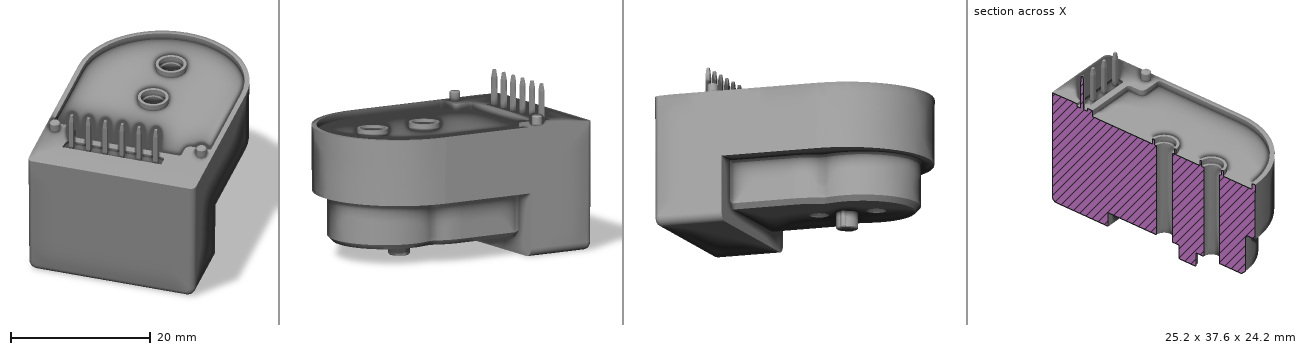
import cadquery as cq


case_width = 25.2
case_length = 37.6
case_bottom = -9.6
end_radius = case_width / 2
front_y = end_radius - case_length
side_draft = 0.4

leg_back_y = -14.6
leg_bottom = -19.0
leg_side_round = 1.25
front_round = 0.83

slope_start_y = -22.05
slope_drop = 0.08

rim = 0.7
recess_depth = 1.0
recess_half_width = end_radius - rim
recess_shoulder_y = -14.8
recess_front_y = -17.5
tongue_half_width = 8.25
recess_corner = 0.38
tongue_corner = 0.83

housing_bottom = -16.62
housing_disc_y = 2.45
housing_disc_radius = 8.3
housing_half_width = 8.8
shoulder_radius = 7.52
shoulder_start_y = -4.8
waist_round = 1.88
housing_chamfer = 0.75
root_chamfer = 0.35

hole_ys = (4.47, -4.3)
hole_radius = 1.43
ring_radius = 2.2
ring_bore_radius = 1.8
ring_height = 0.95

pin_radius = 1.58
pin_chamfer = 0.15
rib_radius = 0.45

post_x = 11.0
post_y = -16.5
post_radius = 0.75
post_height = 1.4
post_chamfer = 0.15

contact_count = 6
first_contact_x = -7.6
last_contact_x = 5.08
contact_pitch = (last_contact_x - first_contact_x) / (contact_count - 1)
contact_y = -19.45
contact_width = 0.65
contact_shoulder = 4.1
contact_top = 5.2
contact_tip_width = 0.38
slot_left = -8.75
slot_right = 6.15
slot_front_y = -20.38
slot_back_y = -18.55
slot_slant = 0.2
slot_round = 0.55
slot_depth = 0.5

select_margin = 0.02


def box(x_range, y_range, z_range):
    """Box between the given limits."""
    sizes = [high - low for low, high in (x_range, y_range, z_range)]
    corner = (x_range[0], y_range[0], z_range[0])
    return cq.Workplane("XY").box(*sizes, centered=False).translate(corner)


def cylinder(x, y, radius, z_low, z_high):
    """Upright cylinder between two heights."""
    return cq.Workplane("XY", origin=(x, y, z_low)).circle(radius).extrude(z_high - z_low)


def edges_within(y_range, z_range):
    """Selector for edges that lie fully inside the housing width and the given limits."""
    half_width = housing_half_width + select_margin
    low = (-half_width, y_range[0] - select_margin, z_range[0] - select_margin)
    high = (half_width, y_range[1] + select_margin, z_range[1] + select_margin)
    return cq.selectors.BoxSelector(low, high, boundingbox=True)


def make_case():
    """Round-ended case with drafted sides, a leg and a flat front."""
    front_allowance = 0.38
    rough_front_y = front_y - front_allowance
    case = (
        cq.Workplane("XY")
        .moveTo(-end_radius, rough_front_y)
        .lineTo(-end_radius, 0)
        .threePointArc((0, end_radius), (end_radius, 0))
        .lineTo(end_radius, rough_front_y)
        .close()
        .extrude(leg_bottom, taper=side_draft)
    )
    full_x = (-case_width, case_width)
    case = case.intersect(box(full_x, (front_y, end_radius), (leg_bottom, 0)))
    case = case.cut(box(full_x, (leg_back_y, case_length), (leg_bottom, case_bottom)))
    case = case.faces("<Z").edges("<X or >X").fillet(leg_side_round)
    return case.faces("<Y").edges("not >Z").fillet(front_round)


def make_slope_cut():
    """Wedge that slopes the deck down from its cross line to the front."""
    profile = [(slope_start_y, 0), (front_y, 0), (front_y, -slope_drop)]
    return cq.Workplane("YZ").polyline(profile).close().extrude(end_radius, both=True)


def make_recess():
    """Recess following the case outline, with a tongue between the posts."""
    outer = (
        cq.Workplane("XY")
        .moveTo(-recess_half_width, recess_shoulder_y)
        .lineTo(-recess_half_width, 0)
        .threePointArc((0, recess_half_width), (recess_half_width, 0))
        .lineTo(recess_half_width, recess_shoulder_y)
        .close()
        .extrude(-recess_depth)
        .edges("|Z and <Y")
        .fillet(recess_corner)
    )
    tongue = box(
        (-tongue_half_width, tongue_half_width),
        (recess_front_y, 0),
        (-recess_depth, 0),
    )
    tongue = tongue.edges("|Z and <Y").fillet(recess_corner)
    inner_corners = cq.selectors.BoxSelector(
        (-tongue_half_width - select_margin, recess_shoulder_y - select_margin, -recess_depth),
        (tongue_half_width + select_margin, recess_shoulder_y + select_margin, 0),
    )
    return outer.union(tongue).edges("|Z").edges(inner_corners).fillet(tongue_corner)


def make_housing_blank():
    """Disc joined to a broad-shouldered block, blended at the waist."""
    disc = cylinder(0, housing_disc_y, housing_disc_radius, housing_bottom, case_bottom)
    block = box(
        (-housing_half_width, housing_half_width),
        (leg_back_y, shoulder_start_y + shoulder_radius),
        (housing_bottom, case_bottom),
    )
    block = block.edges("|Z and >Y").fillet(shoulder_radius)
    waist = cq.selectors.BoxSelector(
        (-housing_half_width, shoulder_start_y + select_margin, housing_bottom),
        (housing_half_width, housing_disc_y - select_margin, case_bottom),
    )
    return disc.union(block).edges("|Z").edges(waist).fillet(waist_round)


def make_housing():
    """Lower housing with a chamfered bottom rim."""
    return make_housing_blank().faces("<Z").edges("not <Y").chamfer(housing_chamfer)


def make_locating_pin():
    """Pin with a small rounded rib on each side."""
    pin = cylinder(0, 0, pin_radius, leg_bottom, housing_bottom)
    pin = pin.faces("<Z").chamfer(pin_chamfer)
    for side in (-1, 1):
        rib_x = side * (pin_radius - rib_radius / 2)
        rib = cylinder(rib_x, 0, rib_radius, leg_bottom, housing_bottom)
        pin = pin.union(rib.faces("<Z").chamfer(pin_chamfer))
    return pin


def make_post(x):
    """Short chamfered post standing on the deck."""
    post = cylinder(x, post_y, post_radius, 0, post_height)
    return post.faces(">Z").chamfer(post_chamfer)


def make_contact(x):
    """Square contact with a tapered tip."""
    base_z = -slot_depth
    shank = (
        cq.Workplane("XY", origin=(x, contact_y, base_z))
        .rect(contact_width, contact_width)
        .extrude(contact_shoulder - base_z)
    )
    tip_height = contact_top - contact_shoulder
    tip = (
        cq.Workplane("XY", origin=(x, contact_y, contact_shoulder))
        .rect(contact_width, contact_width)
        .workplane(offset=tip_height)
        .rect(contact_tip_width, contact_tip_width)
        .loft()
    )
    return shank.union(tip)


def make_slot():
    """Shallow connector slot with a slanted left end and rounded back corners."""
    corners = [
        (slot_left, slot_front_y),
        (slot_right, slot_front_y),
        (slot_right, slot_back_y),
        (slot_left + slot_slant, slot_back_y),
    ]
    slot = cq.Workplane("XY").polyline(corners).close().extrude(-slot_depth)
    return slot.faces(">Y").edges("|Z").fillet(slot_round)


result = make_case().cut(make_slope_cut()).cut(make_recess())
result = result.union(make_housing())

under_case = edges_within((leg_back_y, end_radius), (case_bottom, case_bottom))
behind_leg = edges_within((leg_back_y, leg_back_y), (housing_bottom + housing_chamfer, case_bottom))
result = result.edges(under_case + behind_leg).chamfer(root_chamfer)
result = result.union(make_locating_pin())

floor_z = -recess_depth
ring_top = floor_z + ring_height
for hole_y in hole_ys:
    result = result.union(cylinder(0, hole_y, ring_radius, floor_z, ring_top))
    result = result.cut(cylinder(0, hole_y, ring_bore_radius, floor_z, ring_top))
    result = result.cut(cylinder(0, hole_y, hole_radius, housing_bottom, ring_top))

result = result.cut(make_slot())
for post_side in (-1, 1):
    result = result.union(make_post(post_side * post_x))
for index in range(contact_count):
    result = result.union(make_contact(first_contact_x + index * contact_pitch))